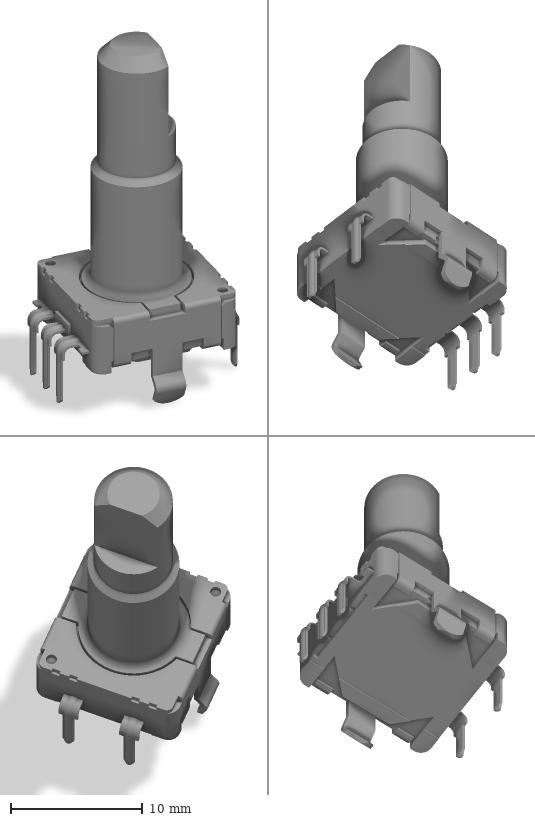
import cadquery as cq
import math


BODY_X = 11.7
BODY_Y = 11.98
BODY_TOP = 4.5
HALF_X = BODY_X / 2
HALF_Y = BODY_Y / 2
PILLAR_RADIUS = 0.95
UNDERSIDE_RELIEF = 0.08
UNDERSIDE_RELIEF_X = 7.78

COVER_SHEET = 0.4
COVER_BEND_RADIUS = 0.35
LID_SHEET = 0.45
LID_CORNER_RADIUS = 0.5
FLANGE_HALF_Y = 4.45
FLANGE_INNER_X = HALF_X - COVER_SHEET
FLANGE_GAP = 0.08
RELIEF_LENGTH = 0.35
RELIEF_DEPTH = 0.3
HOLE_RADIUS = 0.42
HOLE_X = 4.68
HOLE_Y = 5.1
LID_NOTCH_X = (2.55, 3.98)
LID_NOTCH_WIDTH = 0.65
LID_NOTCH_DEPTH = 0.2

GROOVE_WIDTH = 0.2
GROOVE_FLOOR = 3.8
BEARING_RADIUS = 4.2
BEARING_ARM_HALF_Y = 1.3
BEARING_ARM_END_X = 5.38

BUSHING_RADIUS = 3.5
BUSHING_TOP = 14.5
BUSHING_FILLET = 0.5
SHAFT_RADIUS = 3.0
SHAFT_TOP = 24.5
SHAFT_CHAMFER = 1.0
FLAT_Y = 1.5
FLAT_BOTTOM = 17.5

SIDE_OPENING_HALF_Y = 4.68
SIDE_OPENING_TOP = 1.0
HOOK_INNER_Y = 3.02
HOOK_BOTTOM = 0.25
HOOK_ROLL_RADIUS = 0.5
CORE_STEP_TOP = 0.5
CORE_STEP_X = 0.45
CORE_STEP_HALF_Y = 2.15
WINDOW_TOP = 1.37
CLIP_HALF_Y = 1.23
CLIP_SLOT_MARGIN = 0.25
CLIP_SLOT_DEPTH = 0.15
CLIP_TIP = -3.5
CLIP_SHOULDER = -3.02
CLIP_REACH = 6.55
CLIP_ROOT = 1.65
CLIP_KINK_Z = -2.0
CLIP_BEND_RADIUS = 0.42
CLIP_FLARE_ANGLE = 43
CLIP_FOLD_ANGLE = 24
CLIP_END_Z = -3.45

FRONT_RECESS_HALF_X = 3.4
FRONT_RECESS_TOP = 0.5
FRONT_RECESS_DEPTH = 0.42
FRONT_NOTCH_X = 1.5
FRONT_NOTCH_WIDTH = 0.35
FRONT_NOTCH_TOP = 0.75
PAD_HALF_X = 1.23
PAD_BOTTOM = 1.0
PAD_TOP = 2.27
PAD_THICKNESS = 0.25

PITCH = 2.5
TERMINAL_SHEET = 0.2
TERMINAL_TOP = 1.6
BEND_RADIUS = 0.7
FRONT_REACH = 7.62
REAR_REACH = 7.1
RIB_HEIGHT = 0.1
RIB_HALF_WIDTH = 0.35
RIB_EMBED = 0.05
TERMINAL_SHOULDER = 0.42
TAPER_START = -3.1
LEG_TIP = -3.47
TIP_HALF_WIDTH = 0.15
TIP_CHAMFER = 0.15
ROOT_DEPTH = 0.28
OUTER_HALF_WIDTHS = (0.78, 0.45)
MIDDLE_HALF_WIDTHS = (0.73, 0.5)
WING_END_X = 4.65
WING_REACH = 6.6
WING_NOTCH_X = (3.28, 3.92)
WING_NOTCH_REACH = 6.33
WING_NOTCH_FILLET = 0.17


def block(x0, x1, y0, y1, z0, z1):
    return cq.Workplane("XY").box(x1 - x0, y1 - y0, z1 - z0, centered=False).translate((x0, y0, z0))


def on_both_sides(shape):
    """Return the shape together with its mirror image across X = 0."""
    return shape.union(shape.mirror("YZ"))


def make_body():
    lower_height = BODY_TOP - LID_SHEET
    pillars = cq.Workplane("XY").rect(BODY_X, BODY_Y).extrude(lower_height)
    pillars = pillars.edges("|Z").fillet(PILLAR_RADIUS)
    lid = block(-FLANGE_INNER_X, FLANGE_INNER_X, -HALF_Y, HALF_Y, lower_height, BODY_TOP)
    lid = lid.edges("|Z").fillet(LID_CORNER_RADIUS)
    bends = block(-HALF_X, HALF_X, -FLANGE_HALF_Y, FLANGE_HALF_Y, lower_height - LID_SHEET, BODY_TOP)
    bends = bends.edges("|Y and >Z").fillet(COVER_BEND_RADIUS)
    return pillars.union(lid).union(bends)


def cut_lid_details(body):
    for side in (1, -1):
        body = body.cut(
            cq.Workplane("XY").center(side * HOLE_X, side * HOLE_Y).circle(HOLE_RADIUS)
            .extrude(LID_SHEET).translate((0, 0, BODY_TOP - LID_SHEET))
        )
        edge_y = side * (HALF_Y - LID_NOTCH_DEPTH / 2)
        for x in LID_NOTCH_X:
            notch = cq.Workplane("XY").box(LID_NOTCH_WIDTH, LID_NOTCH_DEPTH, LID_SHEET)
            notch = notch.translate((x, edge_y, BODY_TOP - LID_SHEET / 2))
            body = body.cut(on_both_sides(notch))
    return body


def bearing_outline(radius, half_x, half_y):
    height = BODY_TOP - GROOVE_FLOOR
    disc = cq.Workplane("XY").workplane(offset=GROOVE_FLOOR).circle(radius).extrude(height)
    return disc.union(block(-half_x, half_x, -half_y, half_y, GROOVE_FLOOR, BODY_TOP))


def make_bearing_groove():
    opening = bearing_outline(BEARING_RADIUS + GROOVE_WIDTH, HALF_X, BEARING_ARM_HALF_Y + GROOVE_WIDTH)
    return opening.cut(bearing_outline(BEARING_RADIUS, BEARING_ARM_END_X, BEARING_ARM_HALF_Y))


def make_flange_end_cuts():
    """Slits beside the side flanges and the slanted bend reliefs above them."""
    relief_top = BODY_TOP - LID_SHEET
    cuts = block(FLANGE_INNER_X, HALF_X, FLANGE_HALF_Y, FLANGE_HALF_Y + FLANGE_GAP, 0, relief_top)
    relief = (
        cq.Workplane("YZ").workplane(offset=FLANGE_INNER_X)
        .moveTo(FLANGE_HALF_Y, relief_top)
        .lineTo(FLANGE_HALF_Y + RELIEF_LENGTH, relief_top)
        .lineTo(FLANGE_HALF_Y, relief_top - RELIEF_DEPTH)
        .close().extrude(COVER_SHEET)
    )
    cuts = cuts.union(relief)
    return on_both_sides(cuts.union(cuts.mirror("XZ")))


def make_side_openings():
    """Space for the lower flange edges, cut out between the corner pillars."""
    span = SIDE_OPENING_HALF_Y
    slot = CLIP_HALF_Y + CLIP_SLOT_MARGIN
    step_x = FLANGE_INNER_X - CORE_STEP_X
    slot_x = FLANGE_INNER_X - CLIP_SLOT_DEPTH
    cuts = block(FLANGE_INNER_X, HALF_X, -span, span, 0, SIDE_OPENING_TOP)
    cuts = cuts.union(block(FLANGE_INNER_X, HALF_X, -HOOK_INNER_Y, HOOK_INNER_Y, 0, WINDOW_TOP))
    narrow_x = step_x - (span - CORE_STEP_HALF_Y)
    core_step = (
        cq.Workplane("XY").moveTo(HALF_X, -span)
        .lineTo(narrow_x, -span)
        .lineTo(step_x, -CORE_STEP_HALF_Y)
        .lineTo(step_x, CORE_STEP_HALF_Y)
        .lineTo(narrow_x, span)
        .lineTo(HALF_X, span)
        .close().extrude(CORE_STEP_TOP)
    )
    clip_slot = block(slot_x, HALF_X, -slot, slot, 0, SIDE_OPENING_TOP)
    return on_both_sides(cuts.union(core_step).union(clip_slot))


def make_front_recess():
    back_y = FRONT_RECESS_DEPTH - HALF_Y
    recess = block(-FRONT_RECESS_HALF_X, FRONT_RECESS_HALF_X, -HALF_Y, back_y, 0, FRONT_RECESS_TOP)
    start_x = FRONT_NOTCH_X - FRONT_NOTCH_WIDTH / 2
    notch = block(start_x, start_x + FRONT_NOTCH_WIDTH, -HALF_Y, back_y, 0, FRONT_NOTCH_TOP)
    return recess.union(on_both_sides(notch))


def make_underside_relief():
    half_x = UNDERSIDE_RELIEF_X / 2
    return block(-half_x, half_x, -HALF_Y, HALF_Y, 0, UNDERSIDE_RELIEF)


def make_hooks():
    """Lower flange edges, rolled inwards under the body."""
    hook = block(FLANGE_INNER_X - COVER_SHEET, HALF_X, HOOK_INNER_Y, FLANGE_HALF_Y, HOOK_BOTTOM, WINDOW_TOP)
    hook = hook.edges("|Y and >X and <Z").fillet(HOOK_ROLL_RADIUS)
    return on_both_sides(hook.union(hook.mirror("XZ")))


def make_clips():
    """Snap-in legs: straight down, kinked outwards and folded back in, with a rounded end."""
    upright_x = HALF_X - COVER_SHEET / 2
    kink_x = CLIP_REACH - COVER_SHEET / 2
    flare = math.radians(CLIP_FLARE_ANGLE)
    fold = math.radians(CLIP_FOLD_ANGLE)
    center_x = kink_x - CLIP_BEND_RADIUS
    arc_start_x = center_x + CLIP_BEND_RADIUS * math.cos(flare)
    arc_start_z = CLIP_KINK_Z + CLIP_BEND_RADIUS * math.sin(flare)
    arc_end_x = center_x + CLIP_BEND_RADIUS * math.cos(fold)
    arc_end_z = CLIP_KINK_Z - CLIP_BEND_RADIUS * math.sin(fold)
    upper_bend_z = arc_start_z + (arc_start_x - upright_x) / math.tan(flare)
    end_x = arc_end_x - (arc_end_z - CLIP_END_Z) * math.tan(fold)
    path = (
        cq.Workplane("XZ").moveTo(upright_x, CLIP_ROOT)
        .lineTo(upright_x, upper_bend_z)
        .lineTo(arc_start_x, arc_start_z)
        .threePointArc((kink_x, CLIP_KINK_Z), (arc_end_x, arc_end_z))
        .lineTo(end_x, CLIP_END_Z)
    )
    strip = (
        cq.Workplane("XY", origin=(upright_x, 0, CLIP_ROOT))
        .rect(COVER_SHEET, 2 * CLIP_HALF_Y)
        .sweep(path, transition="round")
    )
    rounded_end = (
        cq.Workplane("YZ").moveTo(-CLIP_HALF_Y, CLIP_ROOT)
        .lineTo(-CLIP_HALF_Y, CLIP_SHOULDER)
        .threePointArc((0, CLIP_TIP), (CLIP_HALF_Y, CLIP_SHOULDER))
        .lineTo(CLIP_HALF_Y, CLIP_ROOT)
        .close().extrude(CLIP_REACH)
    )
    return on_both_sides(strip.intersect(rounded_end))


def make_bushing_and_shaft():
    fillet_end = BUSHING_RADIUS + BUSHING_FILLET
    chamfer_base = BUSHING_TOP - (BUSHING_RADIUS - SHAFT_RADIUS)
    mid_offset = BUSHING_FILLET * (1 - math.sqrt(0.5))
    spindle = (
        cq.Workplane("XZ").moveTo(0, GROOVE_FLOOR)
        .lineTo(fillet_end, GROOVE_FLOOR)
        .lineTo(fillet_end, BODY_TOP)
        .threePointArc(
            (BUSHING_RADIUS + mid_offset, BODY_TOP + mid_offset),
            (BUSHING_RADIUS, BODY_TOP + BUSHING_FILLET),
        )
        .lineTo(BUSHING_RADIUS, chamfer_base)
        .lineTo(SHAFT_RADIUS, BUSHING_TOP)
        .lineTo(SHAFT_RADIUS, SHAFT_TOP - SHAFT_CHAMFER)
        .lineTo(SHAFT_RADIUS - SHAFT_CHAMFER, SHAFT_TOP)
        .lineTo(0, SHAFT_TOP)
        .close().revolve(360, (0, 0, 0), (0, 1, 0))
    )
    flat = block(-SHAFT_RADIUS, SHAFT_RADIUS, FLAT_Y, SHAFT_RADIUS, FLAT_BOTTOM, SHAFT_TOP)
    return spindle.cut(flat)


def bent_strip(reach, half_width):
    """Strip that leaves the -Y face and bends down, centred on X = 0."""
    bend_y = BEND_RADIUS - reach
    bend_z = TERMINAL_TOP - BEND_RADIUS
    underside = TERMINAL_TOP - TERMINAL_SHEET
    leg_back = TERMINAL_SHEET - reach
    outer = BEND_RADIUS * math.sqrt(0.5)
    inner = (BEND_RADIUS - TERMINAL_SHEET) * math.sqrt(0.5)
    root_y = ROOT_DEPTH - HALF_Y
    return (
        cq.Workplane("YZ").moveTo(root_y, TERMINAL_TOP)
        .lineTo(bend_y, TERMINAL_TOP)
        .threePointArc((bend_y - outer, bend_z + outer), (-reach, bend_z))
        .lineTo(-reach, LEG_TIP)
        .lineTo(leg_back - TIP_CHAMFER, LEG_TIP)
        .lineTo(leg_back, LEG_TIP + TIP_CHAMFER)
        .lineTo(leg_back, bend_z)
        .threePointArc((bend_y - inner, bend_z + inner), (bend_y, underside))
        .lineTo(root_y, underside)
        .close().extrude(half_width, both=True)
    )


def make_rib(reach):
    """Round-backed stiffening rib that follows the outer surface of a bent strip."""
    bend_y = BEND_RADIUS - reach
    bend_z = TERMINAL_TOP - BEND_RADIUS
    diagonal = BEND_RADIUS * math.sqrt(0.5)
    root_y = ROOT_DEPTH - HALF_Y
    path = (
        cq.Workplane("YZ").moveTo(root_y, TERMINAL_TOP)
        .lineTo(bend_y, TERMINAL_TOP)
        .threePointArc((bend_y - diagonal, bend_z + diagonal), (-reach, bend_z))
        .lineTo(-reach, LEG_TIP)
    )
    return (
        cq.Workplane("XZ", origin=(0, root_y, TERMINAL_TOP))
        .moveTo(-RIB_HALF_WIDTH, -RIB_EMBED)
        .lineTo(-RIB_HALF_WIDTH, 0)
        .threePointArc((0, RIB_HEIGHT), (RIB_HALF_WIDTH, 0))
        .lineTo(RIB_HALF_WIDTH, -RIB_EMBED)
        .close().sweep(path)
    )


def make_terminal(reach, half_widths):
    wide, narrow = half_widths
    outline = (
        cq.Workplane("XZ").moveTo(-wide, BODY_TOP)
        .lineTo(-wide, TERMINAL_SHOULDER)
        .lineTo(-narrow, TERMINAL_SHOULDER)
        .lineTo(-narrow, TAPER_START)
        .lineTo(-TIP_HALF_WIDTH, LEG_TIP)
        .lineTo(TIP_HALF_WIDTH, LEG_TIP)
        .lineTo(narrow, TAPER_START)
        .lineTo(narrow, TERMINAL_SHOULDER)
        .lineTo(wide, TERMINAL_SHOULDER)
        .lineTo(wide, BODY_TOP)
        .close().extrude(reach + RIB_HEIGHT)
    )
    sheet = bent_strip(reach, wide)
    return sheet.union(make_rib(reach)).intersect(outline)


def make_wings():
    """Flat side arms of the outer front terminals, with a round-cornered notch."""
    root_y = ROOT_DEPTH - HALF_Y
    bottom = TERMINAL_TOP - TERMINAL_SHEET
    wing = block(PITCH, WING_END_X, -WING_REACH, root_y, bottom, TERMINAL_TOP)
    notch = block(*WING_NOTCH_X, -WING_REACH, -WING_NOTCH_REACH, bottom, TERMINAL_TOP)
    notch = notch.edges("|Z and >Y").fillet(WING_NOTCH_FILLET)
    return on_both_sides(wing.cut(notch))


def make_terminals():
    front_outer = make_terminal(FRONT_REACH, OUTER_HALF_WIDTHS).translate((PITCH, 0, 0))
    rear_outer = make_terminal(REAR_REACH, OUTER_HALF_WIDTHS).mirror("XZ").translate((PITCH, 0, 0))
    terminals = on_both_sides(front_outer.union(rear_outer))
    return terminals.union(make_terminal(FRONT_REACH, MIDDLE_HALF_WIDTHS)).union(make_wings())


def make_front_pad():
    return block(-PAD_HALF_X, PAD_HALF_X, -HALF_Y - PAD_THICKNESS, ROOT_DEPTH - HALF_Y, PAD_BOTTOM, PAD_TOP)


body = cut_lid_details(make_body())
body = body.cut(make_bearing_groove()).cut(make_flange_end_cuts())
body = body.cut(make_side_openings()).cut(make_front_recess()).cut(make_underside_relief())
body = body.union(make_hooks()).union(make_clips()).union(make_bushing_and_shaft())
result = body.union(make_front_pad()).union(make_terminals())